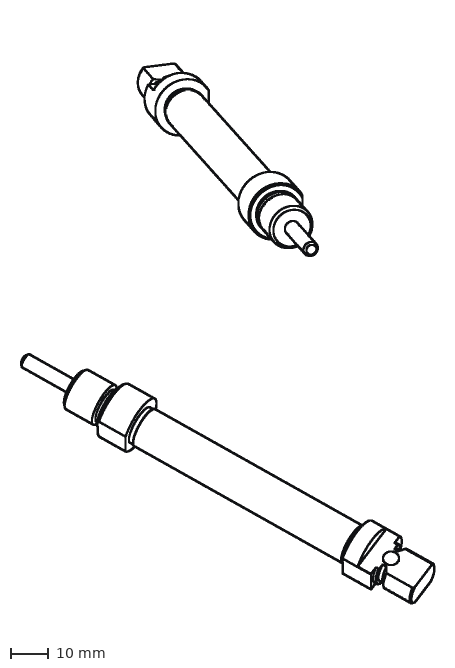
import cadquery as cq


rear_thread_end = 8.6
rear_collar_start = 10.9
rear_flange_start = 11.9
rear_flange_end = 20.8
front_flange_start = 89.3
front_flange_end = 98.1
front_collar_end = 99.0
front_groove_end = 100.2
front_thread_start = 100.6
front_cap_end = 110.0
rod_end = 126.0

flange_radius = 8.0
thread_radius = 6.0
groove_radius = 4.9

clevis_chamfer = 0.4
front_flange_chamfer = 0.4
front_thread_chamfer = 0.8
collar_chamfer = 0.2

side_flat_y = 7.0

clevis_thickness = 8.0
clevis_length = 16.1
pivot_x = 10.1
pivot_diameter = 4.2

barrel_radius = 5.65
rolled_radius = 5.4
rolled_length = 1.4

rod_radius = 2.0
rod_chamfer = 0.6


def turned(profile):
    """Revolve (x, radius) points, closed along the X axis, into a solid of revolution."""
    first_x = profile[0][0]
    last_x = profile[-1][0]
    outline = [(first_x, 0), *profile, (last_x, 0)]
    return cq.Workplane("XY").polyline(outline).close().revolve(360, (0, 0, 0), (1, 0, 0))


def cut_side_flat(cap, start, end):
    """Cut the +Y flat on the flange that spans start to end in X."""
    depth = flange_radius - side_flat_y
    waste = cq.Workplane("XY").box(end - start, depth, 2 * flange_radius, centered=(False, False, True))
    return cap.cut(waste.translate((start, side_flat_y, 0)))


def make_rear_cap():
    flank_length = thread_radius - groove_radius
    cap = turned([
        (0, thread_radius - clevis_chamfer),
        (clevis_chamfer, thread_radius),
        (rear_thread_end, thread_radius),
        (rear_thread_end + flank_length, groove_radius),
        (rear_collar_start, groove_radius),
        (rear_collar_start, thread_radius - collar_chamfer),
        (rear_collar_start + collar_chamfer, thread_radius),
        (rear_flange_start, thread_radius),
        (rear_flange_start, flange_radius),
        (rear_flange_end, flange_radius),
    ])
    cap = cut_side_flat(cap, rear_flange_start, rear_flange_end)

    flat_depth = flange_radius - clevis_thickness / 2
    for side in (1, -1):
        waste = cq.Workplane("XY").box(
            clevis_length, 2 * flange_radius, flat_depth, centered=(False, True, True)
        )
        cap = cap.cut(waste.translate((0, 0, side * (clevis_thickness + flat_depth) / 2)))

    pivot = cq.Workplane("XY").circle(pivot_diameter / 2).extrude(clevis_thickness / 2, both=True)
    return cap.cut(pivot.translate((pivot_x, 0, 0)))


def make_barrel():
    return turned([
        (rear_flange_end, rolled_radius),
        (rear_flange_end + rolled_length, rolled_radius),
        (rear_flange_end + rolled_length, barrel_radius),
        (front_flange_start - rolled_length, barrel_radius),
        (front_flange_start - rolled_length, rolled_radius),
        (front_flange_start, rolled_radius),
    ])


def make_front_cap():
    cap = turned([
        (front_flange_start, flange_radius),
        (front_flange_end - front_flange_chamfer, flange_radius),
        (front_flange_end, flange_radius - front_flange_chamfer),
        (front_flange_end, thread_radius),
        (front_collar_end, thread_radius),
        (front_collar_end, groove_radius),
        (front_groove_end, groove_radius),
        (front_thread_start, thread_radius),
        (front_cap_end - front_thread_chamfer, thread_radius),
        (front_cap_end, thread_radius - front_thread_chamfer),
    ])
    return cut_side_flat(cap, front_flange_start, front_flange_end)


def make_rod():
    return turned([
        (front_cap_end, rod_radius),
        (rod_end - rod_chamfer, rod_radius),
        (rod_end, rod_radius - rod_chamfer),
    ])


rear_cap = make_rear_cap()
barrel = make_barrel()
front_cap = make_front_cap()
rod = make_rod()

result = cq.Compound.makeCompound([rear_cap.val(), barrel.val(), front_cap.val(), rod.val()])